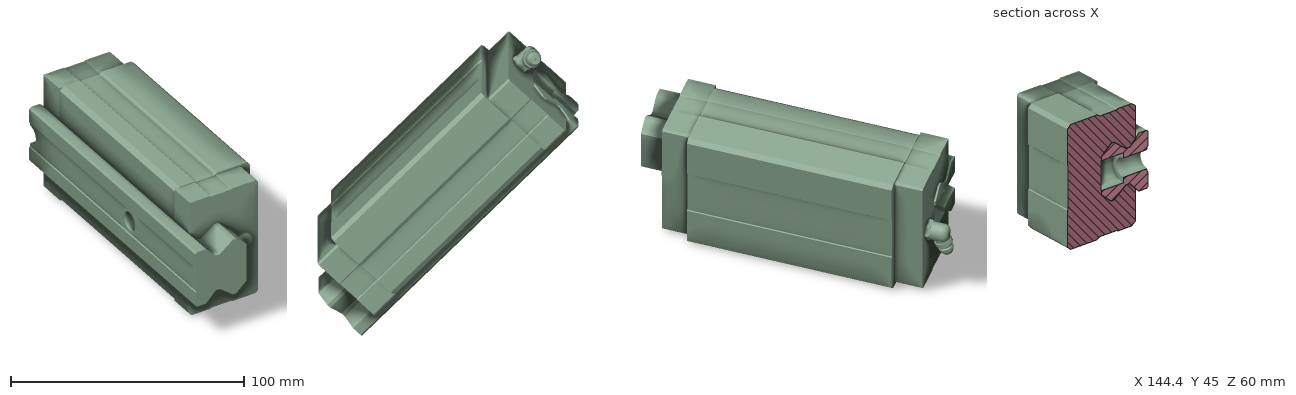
import cadquery as cq
import math


RAIL_LENGTH = 133.65
RAIL_HEIGHT = 26.0
RAIL_HALF_WIDTH = 14.0
FOOT_CHAMFER = 0.9
FOOT_SHOULDER = 5.4
WAIST_BOTTOM = 10.4
WAIST_TOP = 12.4
WAIST_HALF_WIDTH = 8.9
HEAD_BOTTOM = 19.0
HEAD_TOP = 20.8
CROWN_HALF_WIDTH = 9.4
RELIEF_DEPTH = 0.5
RELIEF_HALF_WIDTH = 5.9
RELIEF_SLOPE = 0.4
BOLT_DIAMETER = 9.0
BOLT_HEAD_DIAMETER = 14.2
BOLT_HEAD_DEPTH = 12.0
BOLT_PITCH = 80.0
BOLT_COUNT = 2

CARRIAGE_START = 0.85
CAP_LENGTH = 12.6
BLOCK_LENGTH = 92.8
BLOCK_START = CARRIAGE_START + CAP_LENGTH
BLOCK_END = BLOCK_START + BLOCK_LENGTH
CARRIAGE_END = BLOCK_END + CAP_LENGTH

BLOCK_TOP = 45.0
BLOCK_BOTTOM = 7.0
BLOCK_HALF_WIDTH = 30.0
BLOCK_TOP_CHAMFER = 1.8
SIDE_RECESS_HALF_WIDTH = 29.0
SIDE_RECESS_TOP = 28.4
SIDE_RECESS_TOP_SLOPE = 1.5
SIDE_RECESS_BOTTOM = 17.1
SIDE_RECESS_BOTTOM_SLOPE = 0.4
SKIRT_HALF_WIDTH = 29.4
SKIRT_CHAMFER_HEIGHT = 2.3
SKIRT_CHAMFER_WIDTH = 1.8
TOP_RELIEF_DEPTH = 0.4
TOP_RELIEF_HALF_WIDTH = 10.4

CAP_TOP = 41.0
CAP_BOTTOM = 6.6
CAP_HALF_WIDTH = 29.0
CAP_CHAMFER = 0.9
CAP_RECESS_DEPTH = 0.4
CAP_RECESS_TOP = 27.9

PORT_HEIGHT = 34.0
HEX_ACROSS_FLATS = 8.0
HEX_LENGTH = 2.1
HEX_CHAMFER_ANGLE = 30.0
ELBOW_DIAMETER = 8.0
ELBOW_LENGTH = 9.65
ELBOW_ROUND = 2.5
SPOUT_X = -4.52
SPOUT_TILT = 21.0
SPOUT_ROOT_DIAMETER = 6.65
COLLAR_DIAMETER = 7.85
COLLAR_START = 4.0
COLLAR_END = 5.8
NECK_DIAMETER = 5.5
BULB_START = 7.4
BULB_SHOULDER = 7.8
BULB_BELLY = 8.5
BULB_BELLY_DIAMETER = 6.5
BULB_DIAMETER = 6.6
BULB_TAPER_END = 9.7
BULB_TAPER_DIAMETER = 5.8
TIP_DIAMETER = 4.2
TIP_END = 11.0
GREASE_HOLE_DIAMETER = 1.0
GREASE_HOLE_DEPTH = 1.0
PLUG_DIAMETER = 8.0
PLUG_LENGTH = 1.9
PLUG_ROUND = 1.8


def symmetric_bar(half_outline, start, length):
    """Bar along X whose section is a half outline of (Y, half width) points mirrored about Z = 0."""
    mirrored = [(y, -z) for y, z in reversed(half_outline)]
    return cq.Workplane("YZ", origin=(start, 0, 0)).polyline(half_outline + mirrored).close().extrude(length)


def rail_stock():
    half_outline = [
        (RELIEF_DEPTH, RELIEF_HALF_WIDTH),
        (0, RELIEF_HALF_WIDTH + RELIEF_SLOPE),
        (0, RAIL_HALF_WIDTH - FOOT_CHAMFER),
        (FOOT_CHAMFER, RAIL_HALF_WIDTH),
        (FOOT_SHOULDER, RAIL_HALF_WIDTH),
        (WAIST_BOTTOM, WAIST_HALF_WIDTH),
        (WAIST_TOP, WAIST_HALF_WIDTH),
        (HEAD_BOTTOM, RAIL_HALF_WIDTH),
        (HEAD_TOP, RAIL_HALF_WIDTH),
        (RAIL_HEIGHT, CROWN_HALF_WIDTH),
    ]
    return symmetric_bar(half_outline, 0, RAIL_LENGTH)


def upright_cylinder(x, bottom, top, diameter):
    return cq.Workplane("XZ", origin=(x, bottom, 0)).circle(diameter / 2).extrude(bottom - top)


def make_rail():
    rail = rail_stock()
    seat = RAIL_HEIGHT - BOLT_HEAD_DEPTH
    for i in range(BOLT_COUNT):
        x = i * BOLT_PITCH
        rail = rail.cut(upright_cylinder(x, 0, RAIL_HEIGHT, BOLT_DIAMETER))
        rail = rail.cut(upright_cylinder(x, seat, RAIL_HEIGHT, BOLT_HEAD_DIAMETER))
    return rail


def steel_block():
    half_outline = [
        (BLOCK_BOTTOM, SKIRT_HALF_WIDTH - SKIRT_CHAMFER_WIDTH),
        (BLOCK_BOTTOM + SKIRT_CHAMFER_HEIGHT, SKIRT_HALF_WIDTH),
        (SIDE_RECESS_BOTTOM, SKIRT_HALF_WIDTH),
        (SIDE_RECESS_BOTTOM + SIDE_RECESS_BOTTOM_SLOPE, SIDE_RECESS_HALF_WIDTH),
        (SIDE_RECESS_TOP - SIDE_RECESS_TOP_SLOPE, SIDE_RECESS_HALF_WIDTH),
        (SIDE_RECESS_TOP, BLOCK_HALF_WIDTH),
        (BLOCK_TOP - BLOCK_TOP_CHAMFER, BLOCK_HALF_WIDTH),
        (BLOCK_TOP, BLOCK_HALF_WIDTH - BLOCK_TOP_CHAMFER),
        (BLOCK_TOP, TOP_RELIEF_HALF_WIDTH + TOP_RELIEF_DEPTH),
        (BLOCK_TOP - TOP_RELIEF_DEPTH, TOP_RELIEF_HALF_WIDTH),
    ]
    return symmetric_bar(half_outline, BLOCK_START, BLOCK_LENGTH)


def end_cap(start):
    recess_half_width = CAP_HALF_WIDTH - CAP_RECESS_DEPTH
    half_outline = [
        (CAP_BOTTOM, CAP_HALF_WIDTH),
        (SIDE_RECESS_BOTTOM, CAP_HALF_WIDTH),
        (SIDE_RECESS_BOTTOM + CAP_RECESS_DEPTH, recess_half_width),
        (CAP_RECESS_TOP - CAP_RECESS_DEPTH, recess_half_width),
        (CAP_RECESS_TOP, CAP_HALF_WIDTH),
        (CAP_TOP - CAP_CHAMFER, CAP_HALF_WIDTH),
        (CAP_TOP, CAP_HALF_WIDTH - CAP_CHAMFER),
    ]
    cap = symmetric_bar(half_outline, start, CAP_LENGTH)
    return cap.faces("<Y").edges("<Z").chamfer(CAP_CHAMFER)


def nipple_hexagon():
    corner_diameter = HEX_ACROSS_FLATS / math.cos(math.pi / 6)
    base = cq.Workplane("YZ", origin=(CARRIAGE_START, PORT_HEIGHT, 0))
    hexagon = base.polygon(6, corner_diameter).extrude(-HEX_LENGTH)
    taper_growth = HEX_LENGTH / math.tan(math.radians(HEX_CHAMFER_ANGLE))
    cone = base.circle(HEX_ACROSS_FLATS / 2 + taper_growth).workplane(offset=-HEX_LENGTH)
    cone = cone.circle(HEX_ACROSS_FLATS / 2).loft(ruled=True)
    return hexagon.intersect(cone)


def nipple_elbow():
    return (
        cq.Workplane("YZ", origin=(CARRIAGE_START, PORT_HEIGHT, 0))
        .circle(ELBOW_DIAMETER / 2)
        .extrude(-ELBOW_LENGTH)
        .faces("<X")
        .edges()
        .fillet(ELBOW_ROUND)
    )


def nipple_spout():
    """Turned spout, outlined as (radius, distance down its axis) and then tilted."""
    stem = [
        (0, 0),
        (SPOUT_ROOT_DIAMETER / 2, 0),
        (SPOUT_ROOT_DIAMETER / 2, -COLLAR_START),
        (COLLAR_DIAMETER / 2, -COLLAR_START),
        (COLLAR_DIAMETER / 2, -COLLAR_END),
        (NECK_DIAMETER / 2, -COLLAR_END),
        (NECK_DIAMETER / 2, -BULB_START),
        (BULB_DIAMETER / 2, -BULB_SHOULDER),
    ]
    belly = (BULB_BELLY_DIAMETER / 2, -BULB_BELLY)
    taper_end = (BULB_TAPER_DIAMETER / 2, -BULB_TAPER_END)
    hole_floor = GREASE_HOLE_DEPTH - TIP_END
    return (
        cq.Workplane("XZ")
        .polyline(stem)
        .threePointArc(belly, taper_end)
        .lineTo(TIP_DIAMETER / 2, -TIP_END)
        .lineTo(GREASE_HOLE_DIAMETER / 2, -TIP_END)
        .lineTo(GREASE_HOLE_DIAMETER / 2, hole_floor)
        .lineTo(0, hole_floor)
        .close()
        .revolve(360, (0, 0), (0, 1))
        .rotate((0, 0, 0), (0, 1, 0), SPOUT_TILT)
        .translate((SPOUT_X, PORT_HEIGHT, 0))
    )


def plug():
    return (
        cq.Workplane("YZ", origin=(CARRIAGE_END, PORT_HEIGHT, 0))
        .circle(PLUG_DIAMETER / 2)
        .extrude(PLUG_LENGTH)
        .faces(">X")
        .edges()
        .fillet(PLUG_ROUND)
    )


def make_carriage():
    carriage = steel_block()
    for start in (CARRIAGE_START, BLOCK_END):
        carriage = carriage.union(end_cap(start))
    carriage = carriage.cut(rail_stock())
    for fitting in (nipple_hexagon(), nipple_elbow(), nipple_spout(), plug()):
        carriage = carriage.union(fitting)
    return carriage


rail = make_rail()
carriage = make_carriage()
result = cq.Compound.makeCompound([rail.val(), carriage.val()])